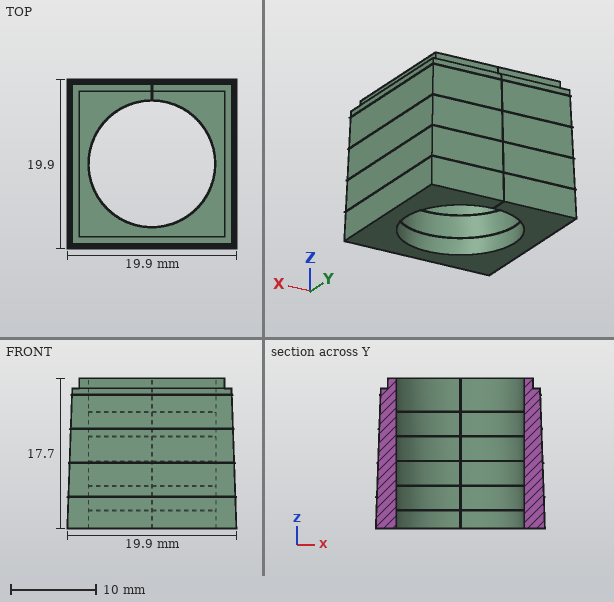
import cadquery as cq
import math

base_side = 19.9
draft_angle = 2.0

rim_side = 18.75
rim_top = 16.5
pad_side = 17.1
total_height = 17.7

lip_reach = 0.1
lip_height = 0.1
lip_first = 3.7
lip_pitch = 4.0
lip_count = 4

body_height = lip_first + (lip_count - 1) * lip_pitch

bore_radius = 7.5
bore_lip_reach = 0.1
bore_lip_height = 0.1
bore_lip_first = 2.1
bore_lip_pitch = 2.9
bore_lip_count = 5

slit_width = 0.1


def body_side(level):
    """Side length of the tapered body at a given height."""
    return base_side - 2 * level * math.tan(math.radians(draft_angle))


def square_block(side, bottom, top):
    return cq.Workplane("XY").workplane(offset=bottom).rect(side, side).extrude(top - bottom)


def square_frustum(bottom_side, top_side, bottom, top):
    return (
        cq.Workplane("XY")
        .workplane(offset=bottom)
        .rect(bottom_side, bottom_side)
        .workplane(offset=top - bottom)
        .rect(top_side, top_side)
        .loft(ruled=True)
    )


def outer_lip(level):
    """Square lip, widest at its flat underside and sloping in towards its top."""
    side = body_side(level)
    return square_frustum(side + 2 * lip_reach, side, level, level + lip_height)


def bore_cutter():
    """Bore volume with a notch that leaves material for every inner lip."""
    lip_radius = bore_radius - bore_lip_reach
    profile = cq.Workplane("XZ").lineTo(bore_radius, 0)
    for index in range(bore_lip_count):
        level = bore_lip_first + index * bore_lip_pitch
        profile = (
            profile.lineTo(bore_radius, level)
            .lineTo(lip_radius, level)
            .lineTo(bore_radius, level + bore_lip_height)
        )
    profile = profile.lineTo(bore_radius, total_height).lineTo(0, total_height).close()
    return profile.revolve(360, (0, 0, 0), (0, 1, 0))


def slit_cutter():
    """Thin full-height slot from the bore axis out through the +Y wall."""
    return (
        cq.Workplane("XY")
        .center(0, base_side / 2)
        .rect(slit_width, base_side)
        .extrude(total_height)
    )


body = square_frustum(base_side, body_side(body_height), 0, body_height)
body = body.union(square_block(rim_side, body_height, rim_top))
body = body.union(square_block(pad_side, rim_top, total_height))

for lip_index in range(lip_count):
    body = body.union(outer_lip(lip_first + lip_index * lip_pitch))

result = body.cut(bore_cutter()).cut(slit_cutter())